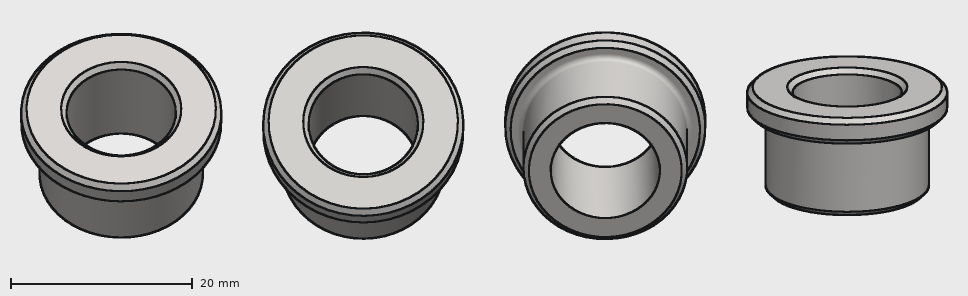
import cadquery as cq

flange_diameter = 22.0
body_diameter = 18.0
bore_diameter = 12.0
total_height = 12.0
flange_thickness = 3.0
chamfer = 0.6
neck_fillet = 0.6

flange_radius = flange_diameter / 2
body_radius = body_diameter / 2
bore_radius = bore_diameter / 2
top = total_height / 2
bottom = -total_height / 2
flange_underside = top - flange_thickness


def bushing_profile():
    """Half section in the XZ plane, from the bore outwards."""
    return (
        cq.Workplane("XZ")
        .moveTo(bore_radius, bottom)
        .lineTo(body_radius - chamfer, bottom)
        .lineTo(body_radius, bottom + chamfer)
        .lineTo(body_radius, flange_underside - neck_fillet)
        .radiusArc((body_radius + neck_fillet, flange_underside), neck_fillet)
        .lineTo(flange_radius - chamfer, flange_underside)
        .lineTo(flange_radius, flange_underside + chamfer)
        .lineTo(flange_radius, top - chamfer)
        .lineTo(flange_radius - chamfer, top)
        .lineTo(bore_radius + chamfer, top)
        .lineTo(bore_radius, top - chamfer)
        .close()
    )


result = bushing_profile().revolve(360, (0, 0, 0), (0, 1, 0))